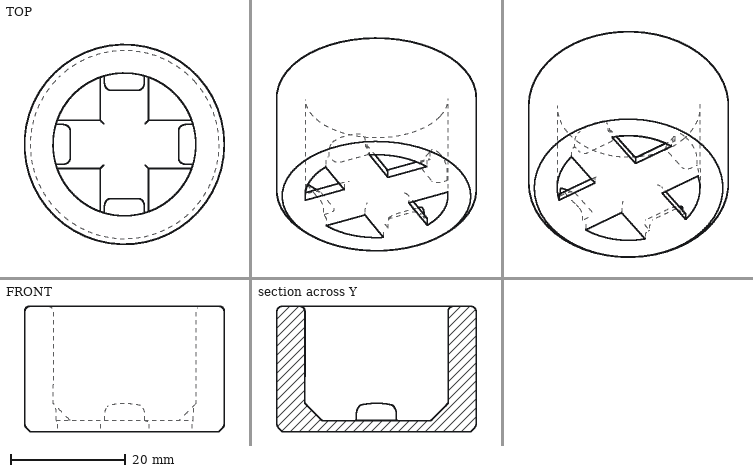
import cadquery as cq
import math

outer_diameter = 35.0
bore_diameter = 25.0
height = 22.0
edge_radius = 1.0
bevel_angle = math.radians(45)
outer_radius = outer_diameter / 2
bore_radius = bore_diameter / 2

floor_thickness = 2.0
arm_edge_radius = 0.75
arm_flat_width = 7.0
arm_width = arm_flat_width + 2 * arm_edge_radius

gusset_reach = 3.0
gusset_slope = math.radians(45)
gusset_edge_radius = 1.0
gusset_count = 4

wall_middle_radius = (outer_radius + bore_radius) / 2


def make_ring():
    """Revolve the wall: rounded rims on top, 45 degree bevel blended into the outside below."""
    arc_center_x = outer_radius - edge_radius
    bevel_top_x = arc_center_x + edge_radius * math.cos(bevel_angle)
    bevel_top_z = (bevel_top_x - arc_center_x) * math.tan(bevel_angle)
    arc_center_z = bevel_top_z + edge_radius * math.sin(bevel_angle)
    arc_middle = (
        arc_center_x + edge_radius * math.cos(bevel_angle / 2),
        arc_center_z - edge_radius * math.sin(bevel_angle / 2),
    )
    ring = (
        cq.Workplane("XZ")
        .moveTo(bore_radius, 0)
        .lineTo(arc_center_x, 0)
        .lineTo(bevel_top_x, bevel_top_z)
        .threePointArc(arc_middle, (outer_radius, arc_center_z))
        .lineTo(outer_radius, height)
        .lineTo(bore_radius, height)
        .close()
        .revolve(360, (0, 0, 0), (0, 1, 0))
    )
    return ring.faces(">Z").edges().fillet(edge_radius)


def make_cross():
    """Two crossing arms with rounded upper edges, trimmed inside the ring wall."""
    arm_length = 2 * outer_radius
    along_x = cq.Workplane("XY").box(arm_length, arm_width, floor_thickness, centered=(True, True, False))
    along_y = cq.Workplane("XY").box(arm_width, arm_length, floor_thickness, centered=(True, True, False))
    cross = along_x.union(along_y).faces(">Z").edges().fillet(arm_edge_radius)
    trim = cq.Workplane("XY").circle(wall_middle_radius).extrude(floor_thickness)
    return cross.intersect(trim)


def make_gusset():
    """Wedge on the +X arm, rising outward, with its two sloped edges rounded."""
    toe = bore_radius - gusset_reach
    rise = (wall_middle_radius - toe) * math.tan(gusset_slope)
    wedge = (
        cq.Workplane("XZ")
        .moveTo(toe, floor_thickness)
        .lineTo(wall_middle_radius, floor_thickness)
        .lineTo(wall_middle_radius, floor_thickness + rise)
        .close()
        .extrude(arm_flat_width / 2, both=True)
    )
    sloped_edges = wedge.edges("not(|X or |Y or |Z)")
    return sloped_edges.fillet(gusset_edge_radius)


result = make_ring().union(make_cross())
gusset = make_gusset()
for index in range(gusset_count):
    result = result.union(gusset.rotate((0, 0, 0), (0, 0, 1), index * 360 / gusset_count))